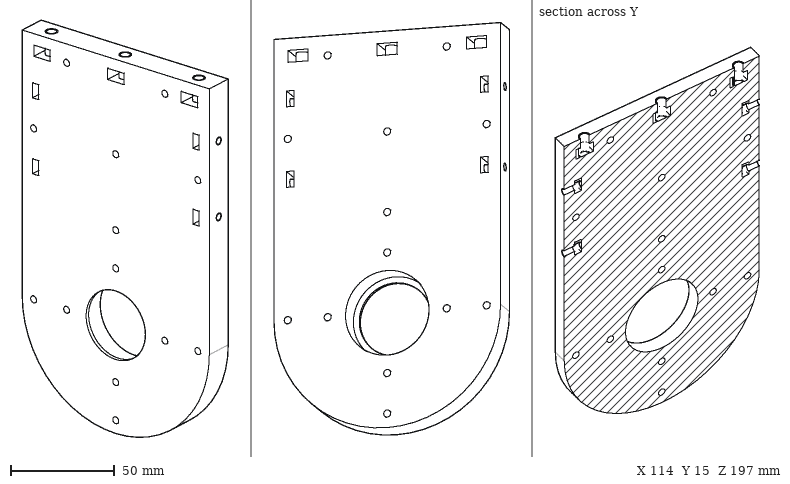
import cadquery as cq

height = 197.0
width = 114.0
thickness = 15.0
end_radius = width / 2
top_z = height - end_radius
front_y = -thickness / 2
back_y = thickness / 2

lip_diameter = 36.0
bore_diameter = 42.0
lip_thickness = 2.0

screw_diameter = 3.5
inner_spacing = 30.0
outer_spacing = 50.0
middle_row_z = 90.0
upper_row_z = 130.0

top_slot_width = 10.0
top_slot_height = 6.0
top_slot_z = 131.0
top_slot_spacing = 45.0
top_sleeve_diameter = 6.1
top_hole_diameter = 5.0

side_slot_width = 3.7
side_slot_height = 7.9
side_slot_x = 48.9
side_slot_levels = (70.0, 110.0)
side_sleeve_diameter = 4.0
side_hole_diameter = 3.3

sleeve_recess = 0.1


def plate():
    outline = (
        cq.Workplane("XZ", origin=(0, back_y, 0))
        .moveTo(-end_radius, top_z)
        .lineTo(-end_radius, 0)
        .threePointArc((0, -end_radius), (end_radius, 0))
        .lineTo(end_radius, top_z)
        .close()
    )
    return outline.extrude(thickness)


def front_to_back_holes(points, diameter, start_y=front_y):
    """Round cutters along Y, from start_y to the back face."""
    centres = cq.Workplane("XZ", origin=(0, back_y, 0)).pushPoints(points)
    return centres.circle(diameter / 2).extrude(back_y - start_y)


def rod(start, direction, diameter, length):
    return cq.Workplane(cq.Solid.makeCylinder(diameter / 2, length, start, direction))


def cut_slot(body, x, z, size_x, size_z):
    """Rectangular slot through the whole thickness."""
    return body.cut(cq.Workplane("XY").box(size_x, thickness, size_z).translate((x, 0, z)))


def add_sleeve(body, floor, direction, slot_depth, edge_distance, sleeve_diameter, hole_diameter):
    """Sleeve crossing a slot from its floor, with a blind hole from the plate's edge down to that floor."""
    mouth = floor + direction * (edge_distance - sleeve_recess)
    body = body.union(rod(floor, direction, sleeve_diameter, slot_depth))
    body = body.cut(rod(floor, direction, hole_diameter, edge_distance))
    return body.cut(rod(mouth, direction, sleeve_diameter, sleeve_recess))


result = plate()
result = result.cut(front_to_back_holes([(0, 0)], lip_diameter))
result = result.cut(front_to_back_holes([(0, 0)], bore_diameter, front_y + lip_thickness))

screw_points = [(0, middle_row_z)]
for spacing in (inner_spacing, outer_spacing):
    screw_points += [(-spacing, 0), (spacing, 0), (0, -spacing), (0, spacing)]
for side in (-1, 1):
    screw_points += [(side * outer_spacing, middle_row_z), (side * inner_spacing, upper_row_z)]
result = result.cut(front_to_back_holes(screw_points, screw_diameter))

top_floor_z = top_slot_z - top_slot_height / 2
for x in (-top_slot_spacing, 0, top_slot_spacing):
    result = cut_slot(result, x, top_slot_z, top_slot_width, top_slot_height)
    result = add_sleeve(
        result,
        floor=cq.Vector(x, 0, top_floor_z),
        direction=cq.Vector(0, 0, 1),
        slot_depth=top_slot_height,
        edge_distance=top_z - top_floor_z,
        sleeve_diameter=top_sleeve_diameter,
        hole_diameter=top_hole_diameter,
    )

side_floor_x = side_slot_x - side_slot_width / 2
for side in (-1, 1):
    for z in side_slot_levels:
        result = cut_slot(result, side * side_slot_x, z, side_slot_width, side_slot_height)
        result = add_sleeve(
            result,
            floor=cq.Vector(side * side_floor_x, 0, z),
            direction=cq.Vector(side, 0, 0),
            slot_depth=side_slot_width,
            edge_distance=end_radius - side_floor_x,
            sleeve_diameter=side_sleeve_diameter,
            hole_diameter=side_hole_diameter,
        )